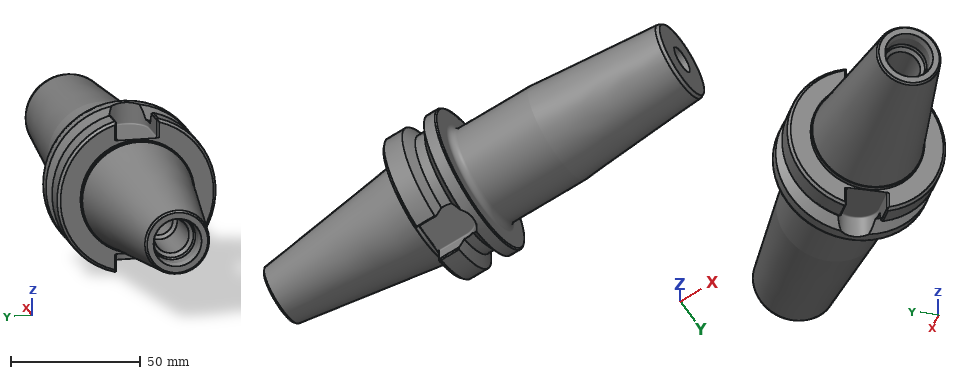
import cadquery as cq
import math

total_length = 185.5
shank_length = 65.5
flange_start = 67.3
flange_end = 92.3
shoulder_fillet = 2.8
nose_cone_start = 128.0

shank_small_diameter = 25.5
shank_large_diameter = 44.3
shank_neck_diameter = 45.0
flange_diameter = 63.0
body_diameter = 42.0
nose_tip_diameter = 33.0

shank_chamfer = 0.7
flange_chamfer = 1.1
flange_rear_chamfer = 0.5
nose_chamfer = 1.5
nose_chamfer_depth = 0.7

groove_diameter = 53.2
groove_start = 76.8
groove_floor_start = 79.5
groove_floor_end = 84.0
groove_end = 86.8

slot_width = 16.1
slot_end = 89.0
slot_floor_height = 22.8
slot_floor_fillet = 0.5
slot_edge_chamfer = 0.7

mouth_diameter = 19.1
bore_diameter = 17.6
seat_diameter = 16.7
core_diameter = 13.9
through_diameter = 11.1
mouth_depth = 2.5
bore_depth = 7.2
seat_depth = 8.5
core_depth = 29.7
core_cone_length = 1.3
seat_cone_length = 1.5


def revolve_about_x(profile):
    """Revolve a list of (x, radius) points, closed along the axis, around X."""
    first_x = profile[0][0]
    last_x = profile[-1][0]
    outline = [(first_x, 0), *profile, (last_x, 0)]
    return cq.Workplane("XY").polyline(outline).close().revolve(360, (0, 0, 0), (1, 0, 0))


def make_body():
    """Taper shank, grooved flange, cylindrical body and conical nose."""
    shank_tip_radius = shank_small_diameter / 2
    neck_radius = shank_neck_diameter / 2
    flange_radius = flange_diameter / 2
    groove_radius = groove_diameter / 2
    body_radius = body_diameter / 2
    nose_radius = nose_tip_diameter / 2
    body = revolve_about_x([
        (0, shank_tip_radius - shank_chamfer),
        (shank_chamfer, shank_tip_radius),
        (shank_length, shank_large_diameter / 2),
        (shank_length, neck_radius),
        (flange_start, neck_radius),
        (flange_start, flange_radius - flange_chamfer),
        (flange_start + flange_chamfer, flange_radius),
        (groove_start, flange_radius),
        (groove_floor_start, groove_radius),
        (groove_floor_end, groove_radius),
        (groove_end, flange_radius),
        (flange_end - flange_rear_chamfer, flange_radius),
        (flange_end, flange_radius - flange_rear_chamfer),
        (flange_end, body_radius),
        (nose_cone_start, body_radius),
        (total_length - nose_chamfer, nose_radius),
        (total_length, nose_radius - nose_chamfer_depth),
    ])
    half_length = shoulder_fillet / 2
    shoulder = cq.selectors.BoxSelector(
        (flange_end - half_length, -body_diameter, -body_diameter),
        (flange_end + half_length, body_diameter, body_diameter),
    )
    return body.edges(shoulder).edges(cq.selectors.RadiusNthSelector(0)).fillet(shoulder_fillet)


def make_bore():
    """Stepped hole narrowing from the shank end, then running through."""
    return revolve_about_x([
        (0, mouth_diameter / 2),
        (mouth_depth, bore_diameter / 2),
        (bore_depth, bore_diameter / 2),
        (seat_depth, seat_diameter / 2),
        (seat_depth + seat_cone_length, core_diameter / 2),
        (core_depth, core_diameter / 2),
        (core_depth + core_cone_length, through_diameter / 2),
        (total_length, through_diameter / 2),
    ])


def make_slot_channel():
    """Slot cutter with a round inner end, flared front edges and a filleted floor."""
    half_width = slot_width / 2
    flare_half_width = half_width + slot_edge_chamfer
    arc_start = slot_end - half_width
    cutter = (
        cq.Workplane("XY", origin=(0, 0, slot_floor_height))
        .moveTo(flange_start, -flare_half_width)
        .lineTo(flange_start + slot_edge_chamfer, -half_width)
        .lineTo(arc_start, -half_width)
        .threePointArc((slot_end, 0), (arc_start, half_width))
        .lineTo(flange_start + slot_edge_chamfer, half_width)
        .lineTo(flange_start, flare_half_width)
        .close()
        .extrude(flange_diameter / 2)
    )
    return cutter.faces("<Z").edges("not(<X)").fillet(slot_floor_fillet)


def make_rim_chamfer():
    """Wedge that chamfers both slot walls where they meet the flange rim."""
    half_width = slot_width / 2
    rim_height = math.sqrt((flange_diameter / 2) ** 2 - half_width ** 2)
    wedge_bottom = rim_height - slot_edge_chamfer
    wedge_top = flange_diameter / 2
    top_half_width = half_width + wedge_top - wedge_bottom
    return (
        cq.Workplane("YZ", origin=(flange_start, 0, 0))
        .polyline([
            (-half_width, wedge_bottom),
            (half_width, wedge_bottom),
            (top_half_width, wedge_top),
            (-top_half_width, wedge_top),
        ])
        .close()
        .extrude(groove_floor_start - flange_start)
    )


upper_slot = make_slot_channel().union(make_rim_chamfer())
lower_slot = upper_slot.mirror("XY")
result = make_body().cut(make_bore()).cut(upper_slot).cut(lower_slot)